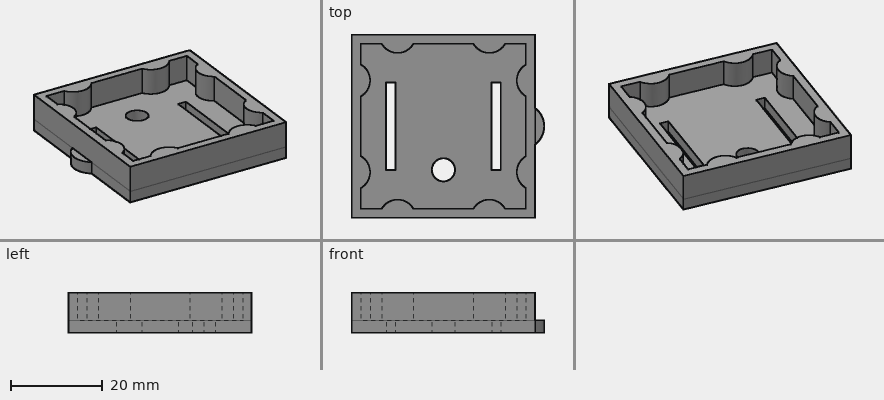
import cadquery as cq

tray_side = 40.0
base_thickness = 2.8
rim_height = 6.0
wall_thickness = 2.0

bump_radius = 4.0
bump_offset = 10.0

tab_radius = 5.0
tab_reach = 2.0

slot_width = 2.0
slot_length = 19.0
slot_offset = 11.5
hole_diameter = 5.0
hole_y = -9.5

half_side = tray_side / 2


def make_base():
    plate = cq.Workplane("XY").rect(tray_side, tray_side).extrude(base_thickness)
    tab_center_x = half_side + tab_reach - tab_radius
    tab = cq.Workplane("XY").center(tab_center_x, 0).circle(tab_radius).extrude(base_thickness)
    return plate.union(tab)


def make_rim():
    inner_side = tray_side - 2 * wall_thickness
    rim_plane = cq.Workplane("XY").workplane(offset=base_thickness)
    block = rim_plane.rect(tray_side, tray_side).extrude(rim_height)
    cavity = rim_plane.rect(inner_side, inner_side).extrude(rim_height)

    bump_centers = []
    for side in (-half_side, half_side):
        for along in (-bump_offset, bump_offset):
            bump_centers.append((along, side))
            bump_centers.append((side, along))
    bumps = rim_plane.pushPoints(bump_centers).circle(bump_radius).extrude(rim_height)
    return block.cut(cavity.cut(bumps))


def make_base_openings():
    slot_centers = [(-slot_offset, 0), (slot_offset, 0)]
    slots = (
        cq.Workplane("XY")
        .pushPoints(slot_centers)
        .rect(slot_width, slot_length)
        .extrude(base_thickness)
    )
    hole = cq.Workplane("XY").center(0, hole_y).circle(hole_diameter / 2).extrude(base_thickness)
    return slots.union(hole)


base = make_base().cut(make_base_openings())
result = base.union(make_rim(), clean=False)